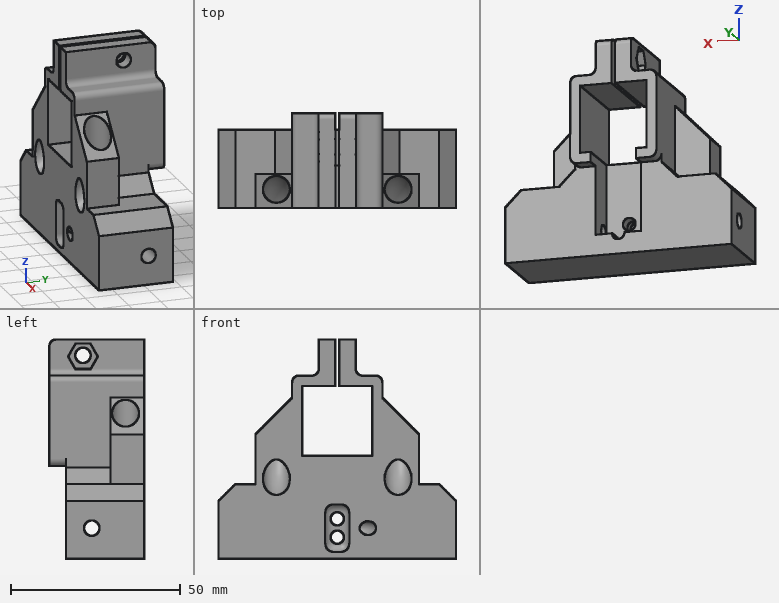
import cadquery as cq

half_width = 35.0
base_depth = 23.1
clamp_depth = 28.0
total_height = 64.6

base_height = 22.0
bevel = 5.0

window = 20.5
wall = 3.1
window_floor = 30.4
corner_radius = 2.0
clamp_half = window / 2 + wall
clamp_top = window_floor + window + wall
clamp_bottom = window_floor - wall
window_mid = window_floor + window / 2

lug_half = 5.45
slit = 1.1

ear_half = 24.15
ear_depth = 10.0
ear_slope = ear_half - clamp_half
ear_top = 47.45

screw_diameter = 4.5
screw_y = 18.05
screw_z = 59.9
nut_diameter = 8.75
nut_z = 59.6
nut_depth = 2.5

rod_diameter = 4.5
rod_y = 15.5
rod_z = 9.0

duct_diameter = 7.9
duct_x = 17.9
duct_y = 5.5
duct_bend = 14.0
duct_bend_top = 34.65

slot_width = 7.1
slot_height = 14.0
slot_depth = 8.5
slot_radius = 2.45
slot_floor_radius = 2.4
bolt_diameter = 3.85
bolt_heights = (6.4, 11.75)

wire_diameter = 4.05
wire_bend = 6.5
wire_y = 3.2

recess_half = 7.0
recess_front = 12.6
recess_floor = bolt_heights[0]


def prism(points, depth):
    """Extrude an XZ outline from the front face toward the rear."""
    return cq.Workplane("XZ").polyline(points).close().extrude(-depth)


def mirrored(half):
    """Complete a right-hand outline with its mirror image about X = 0."""
    return half + [(-x, z) for x, z in reversed(half)]


def block(width, depth, height, y_front, z_bottom):
    """Box centred on X = 0."""
    return (
        cq.Workplane("XY")
        .box(width, depth, height, centered=(True, False, False))
        .translate((0, y_front, z_bottom))
    )


def make_base():
    return prism(
        mirrored([
            (half_width, 0),
            (half_width, base_height - bevel),
            (half_width - bevel, base_height),
            (clamp_half + bevel, base_height),
            (clamp_half, base_height + bevel),
            (clamp_half, window_mid),
        ]),
        base_depth,
    )


def make_ears():
    return prism(
        mirrored([
            (ear_half, 0),
            (ear_half, ear_top - ear_slope),
            (clamp_half, ear_top),
        ]),
        ear_depth,
    )


def make_clamp():
    """Square tube with pinch lugs, rounded along its long edges."""
    tube = block(2 * clamp_half, clamp_depth, clamp_top - clamp_bottom, 0, clamp_bottom)
    tube = tube.edges("|Y").edges(">Z").fillet(corner_radius)
    tube = tube.edges("|Y").edges("<Z").fillet(corner_radius)
    lugs = block(2 * lug_half, clamp_depth, total_height - window_mid, 0, window_mid)
    lugs = lugs.edges(">Z and >Y").fillet(corner_radius)
    clamp = tube.union(lugs)
    for x in (-lug_half, lug_half):
        root = cq.selectors.NearestToPointSelector((x, clamp_depth / 2, clamp_top))
        clamp = clamp.edges("|Y").edges(root).fillet(corner_radius)
    return clamp


def cross_hole(diameter, y, z):
    """Cylinder along X through the whole width."""
    return (
        cq.Workplane("YZ")
        .center(y, z)
        .circle(diameter / 2)
        .extrude(half_width, both=True)
    )


def make_nut_recess():
    return (
        cq.Workplane("YZ", origin=(-lug_half, 0, 0))
        .center(screw_y, nut_z)
        .polygon(6, nut_diameter)
        .extrude(nut_depth)
    )


def make_duct(x):
    """Channel that drops from the ear slope and bends out through the front face."""
    centre = (x, duct_y, duct_bend_top)
    drop = cq.Workplane("XY", origin=centre).circle(duct_diameter / 2).extrude(ear_top - duct_bend_top)
    bend = (
        cq.Workplane("XY", origin=centre)
        .circle(duct_diameter / 2)
        .revolve(90, (0.7, -duct_bend, 0), (-0.7, -duct_bend, 0))
    )
    return drop.union(bend)


def make_slot():
    """Pocket centred on the height of the rod hole, with rounded corners and floor edge."""
    slot = block(slot_width, slot_depth, slot_height, 0, rod_z - slot_height / 2)
    slot = slot.edges("|Y").fillet(slot_radius)
    return slot.faces(">Y").edges().fillet(slot_floor_radius)


def make_wire_channel():
    """Quarter bend that leaves the slot wall and turns out through the front face."""
    return (
        cq.Workplane("YZ", origin=(slot_width / 2, wire_y, rod_z))
        .circle(wire_diameter / 2)
        .revolve(90, (-wire_bend, 0.7, 0), (-wire_bend, -0.7, 0))
    )


def make_recess():
    """Open-backed recess from the window down to the lower bolt hole."""
    height = window_mid - recess_floor
    return block(2 * recess_half, clamp_depth, height, recess_front, recess_floor)


def make_bolt_hole(z):
    return cq.Workplane("XZ").center(0, z).circle(bolt_diameter / 2).extrude(-base_depth)


result = make_base().union(make_ears()).union(make_clamp())

result = result.cut(block(window, clamp_depth, window, 0, window_floor))
result = result.cut(block(slit, clamp_depth, total_height - window_mid, 0, window_mid))
result = result.cut(make_recess())

result = result.cut(cross_hole(screw_diameter, screw_y, screw_z))
result = result.cut(make_nut_recess())
result = result.cut(cross_hole(rod_diameter, rod_y, rod_z))

for duct_side in (-duct_x, duct_x):
    result = result.cut(make_duct(duct_side))
result = result.cut(make_slot())
result = result.cut(make_wire_channel())
for bolt_z in bolt_heights:
    result = result.cut(make_bolt_hole(bolt_z))